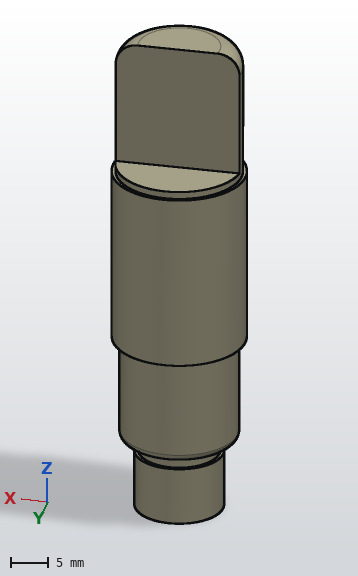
import cadquery as cq

total_length = 67.7
spigot_diameter = 12.0
groove_diameter = 11.0
shank_diameter = 16.0
body_diameter = 18.0
pin_diameter = 17.0

groove_bottom = 8.05
shank_bottom = 10.1
body_bottom = 24.85
pin_bottom = 49.3

pin_tip_radius = 3.0
shank_edge_radius = 1.0

flat_offset = 1.0
ledge_height = 1.0


def section(diameter, bottom, top):
    """Upright cylinder on the Z axis between two heights."""
    return cq.Workplane("XY").workplane(offset=bottom).circle(diameter / 2).extrude(top - bottom)


def half_pin():
    """Round-tipped pin, cut back to a flat above a low ledge."""
    pin = section(pin_diameter, pin_bottom, total_length).faces(">Z").edges().fillet(pin_tip_radius)
    ledge_top = pin_bottom + ledge_height
    cutter = cq.Workplane("XY").box(
        body_diameter, body_diameter, total_length - ledge_top, centered=(True, False, False)
    )
    return pin.cut(cutter.translate((0, flat_offset, ledge_top)))


spigot = section(spigot_diameter, 0, groove_bottom)
groove = section(groove_diameter, groove_bottom, shank_bottom)
shank = section(shank_diameter, shank_bottom, body_bottom).faces("<Z").edges().fillet(shank_edge_radius)
body = section(body_diameter, body_bottom, pin_bottom)

result = spigot.union(groove).union(shank).union(body).union(half_pin())